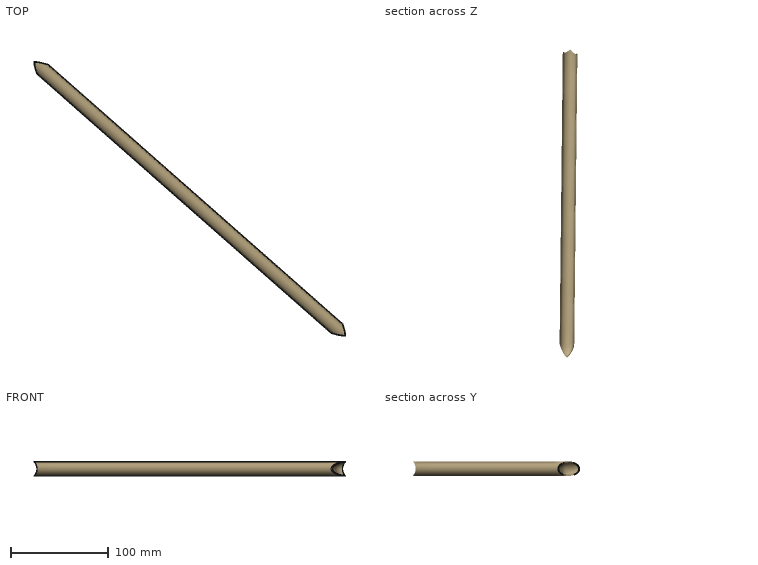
import cadquery as cq
import math

span_x = 319.8
span_y = 281.7
tube_diameter = 15.0
wall = 1.0
frame_radius = 11.0

tube_radius = tube_diameter / 2
brace_angle = math.degrees(math.atan2(span_y, span_x))
blank_length = math.hypot(span_x, span_y) + 4 * tube_diameter
cutter_length = 2 * span_x

tip_inset = math.sqrt(frame_radius**2 - tube_radius**2)
frame_x = span_x / 2 + tip_inset
frame_y = span_y / 2 + tip_inset


def make_brace_blank():
    """Straight hollow tube centred on the origin, falling from -X +Y to +X -Y."""
    tube = cq.Workplane("YZ").circle(tube_radius).circle(tube_radius - wall)
    tube = tube.extrude(blank_length / 2, both=True)
    return tube.rotate((0, 0, 0), (0, 0, 1), -brace_angle)


def make_end_cutter(side):
    """Frame corner and everything beyond it: side -1 is the -X +Y end, side 1 the +X -Y end."""
    along_y = cq.Workplane("XZ").center(side * frame_x, 0).circle(frame_radius)
    along_y = along_y.extrude(cutter_length / 2, both=True)
    along_x = cq.Workplane("YZ").center(-side * frame_y, 0).circle(frame_radius)
    along_x = along_x.extrude(cutter_length / 2, both=True)
    outside = cq.Workplane("XY").box(span_x, span_y, 2 * tube_diameter)
    outside = outside.translate((side * span_x, -side * span_y, 0))
    return along_y.union(along_x).union(outside)


result = make_brace_blank()
for side in (-1, 1):
    result = result.cut(make_end_cutter(side))

result = cq.Workplane("XY").newObject([max(result.solids().vals(), key=lambda solid: solid.Volume())])